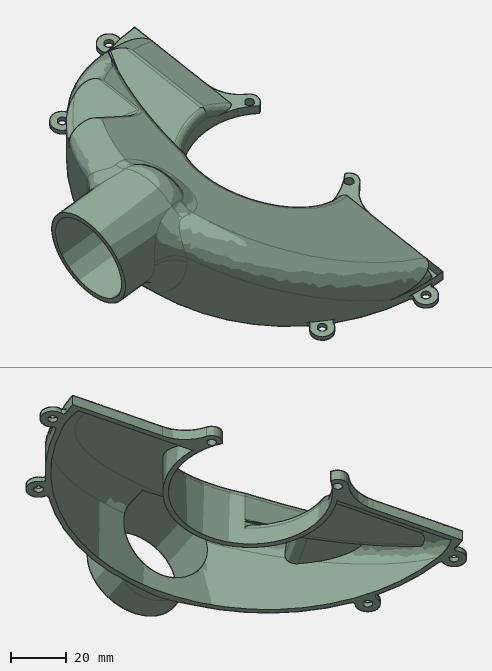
import cadquery as cq
import math

wall = 2.0
outer_radius = 79.5
bore_radius = 29.3
bore_center_y = -12.7
end_height = 4.3
roof_slope = 0.5
outer_round = 9.0
bore_round = 3.0

tube_outer_radius = 38.1 / 2
tube_axis_z = 25.0
tube_mouth_y = -99.1
tube_end_y = -58.5
tube_end_round = 11.0
tube_bore_y = -69.0
tube_blend = 10.0

low_floor_z = 10.3
low_wall_center = (8.7, 127.1)
low_wall_radius = 167.7
low_foot_round = 1.2
low_top_round = 3.0

high_floor_z = 22.5
high_wall_point = (-36.5, -35.0)
high_wall_lean = 15.5
high_foot_round = 2.4
high_top_round = 2.0
high_rim_round = 2.3

side_tab_height = 2.0
side_tab_radius = 4.5
side_tab_hole = 3.5
side_tab_places = [(81.8, -10.6), (67.1, -47.8)]
side_tab_fillet = 1.0
end_tab_radius = 3.9
end_tab_hole = 3.4
end_tab_place = (25.7, 5.2)
end_tab_flare = 17.0

spare = 10.0
depth = 60.0
span = 200.0

tolerance = 0.01


def block(x_range, y_range, z_range):
    size = [high - low for low, high in (x_range, y_range, z_range)]
    corner = (x_range[0], y_range[0], z_range[0])
    return cq.Workplane("XY").box(*size, centered=False).translate(corner)


def disc(center, radius, bottom_z, top_z):
    return cq.Workplane("XY", origin=(*center, bottom_z)).circle(radius).extrude(top_z - bottom_z)


def on_both_sides(solid):
    return solid.union(solid.mirror("YZ"))


def fillet_where(solid, is_wanted, radius):
    """Fillet every edge that passes the given test."""
    edges = [edge for edge in solid.edges().vals() if is_wanted(edge)]
    return cq.Workplane(solid.val().fillet(radius, edges))


def horseshoe(inset, bottom_z, top_z):
    """C-shaped prism reaching past y = 0, with its curved sides moved in by inset."""
    radius = outer_radius - inset
    prism = (
        cq.Workplane("XY", origin=(0, 0, bottom_z))
        .moveTo(-radius, spare).lineTo(-radius, 0)
        .threePointArc((0, -radius), (radius, 0))
        .lineTo(radius, spare).close()
        .extrude(top_z - bottom_z)
    )
    return prism.cut(disc((0, bore_center_y), bore_radius + inset, bottom_z, top_z))


def under_roof(inset):
    """Everything under the roof plane, moved down square to the roof by inset."""
    middle_z = end_height - inset * math.hypot(1, roof_slope)
    rise = roof_slope * span
    return (
        cq.Workplane("YZ")
        .moveTo(span, -span).lineTo(span, middle_z - rise)
        .lineTo(-span, middle_z + rise).lineTo(-span, -span).close()
        .extrude(span, both=True)
    )


def round_rim(solid, radius, center_y, size):
    """Round the curved top edges that lie on an upright cylinder."""
    bottom_z = solid.val().BoundingBox().zmin

    def is_rim(edge):
        points = [edge.positionAt(t) for t in (0.1, 0.5, 0.9)]
        on_side = all(abs(math.hypot(p.x, p.y - center_y) - radius) < tolerance for p in points)
        above_bottom = all(p.z > bottom_z + tolerance for p in points)
        return edge.geomType() != "LINE" and on_side and above_bottom

    return fillet_where(solid, is_rim, size)


def sloped_duct(inset):
    """Duct under the full roof with its outer rim rounded, not yet trimmed."""
    duct = horseshoe(inset, -depth, span).intersect(under_roof(inset))
    return round_rim(duct, outer_radius - inset, 0, outer_round - inset)


def tube(inset):
    """Cylinder along Y with a rounded closed end above the roof."""
    length = tube_end_y - inset - tube_mouth_y
    return (
        cq.Workplane("XZ", origin=(0, tube_mouth_y, tube_axis_z))
        .circle(tube_outer_radius - inset).extrude(-length)
        .faces(">Y").edges().fillet(tube_end_round - inset)
    )


def tube_bore():
    """Hollow of the tube, leaving the roof in place past the end of the bore."""
    past_bore = block((-span, span), (tube_bore_y, span), (-span, span))
    return tube(wall).cut(under_roof(0).intersect(past_bore))


def blend_tube(solid):
    """Round the seam where the tube meets the wall and the roof."""
    def is_seam(edge):
        points = [edge.positionAt(t) for t in (0, 0.25, 0.5, 0.75, 1)]
        near_tube = all(abs(p.x) < tube_outer_radius + tolerance and p.z > 0 for p in points)
        clear_of_bore = all(p.y < bore_center_y - bore_radius - bore_round for p in points)
        return edge.geomType() == "BSPLINE" and near_tube and clear_of_bore

    return fillet_where(solid, is_seam, tube_blend)


def low_cutter(inset):
    """Large disc on the low floor with a rounded foot."""
    floor_z = low_floor_z - inset
    return (
        disc(low_wall_center, low_wall_radius + inset, floor_z, span)
        .faces("<Z").edges().fillet(low_foot_round + inset)
    )


def beside_high_wall(inset, bottom_z):
    """Everything on the -X side of the high step's wall and above bottom_z."""
    return (
        block((-2 * span, inset), (-2 * span, 2 * span), (bottom_z, span))
        .rotate((0, 0, 0), (0, 0, 1), -high_wall_lean)
        .translate((*high_wall_point, 0))
    )


def high_cutter(inset):
    """Block on the high floor with a rounded foot along its wall."""
    corner = beside_high_wall(inset, high_floor_z - inset)
    return corner.edges("<Z").edges(">X").fillet(high_foot_round + inset)


def with_top_round(cutter, radius):
    """Widen a step cutter so that it also rounds the edges it leaves in the roof."""
    ground = under_roof(0)

    def is_step_edge(edge):
        points = [edge.positionAt(t) for t in (0, 0.5, 1)]
        on_roof = all(abs(end_height - roof_slope * p.y - p.z) < tolerance for p in points)
        inside = max(abs(points[1].x), abs(points[1].y)) < span - tolerance
        return on_roof and inside and points[1].y < 0

    return ground.cut(fillet_where(ground.cut(cutter), is_step_edge, radius))


def rim_cutter(floor_z, radius, center_y, size):
    """Sliver that rounds a floor's edge along one of the curved sides of the duct."""
    slab = horseshoe(0, floor_z - spare, floor_z)
    return slab.cut(round_rim(slab, radius, center_y, size))


def cut_steps(solid):
    low = with_top_round(low_cutter(0), low_top_round)
    low_area = disc(low_wall_center, low_wall_radius, 0, span)
    low = low.union(
        rim_cutter(low_floor_z, bore_radius, bore_center_y, bore_round).intersect(low_area)
    )
    low = low.intersect(block((-span, 0), (-span, span), (-span, span)))
    high = with_top_round(high_cutter(0), high_top_round)
    high_rim = rim_cutter(high_floor_z, outer_radius, 0, high_rim_round)
    high = high.union(high_rim.intersect(beside_high_wall(0, 0)))
    return solid.cut(low).cut(high)


def side_tabs():
    """Flat round ears on the outer wall, filleted into it."""
    tabs = horseshoe(0, 0, side_tab_height)
    for x, y in side_tab_places:
        for side in (1, -1):
            tabs = tabs.union(disc((side * x, y), side_tab_radius, 0, side_tab_height))

    def is_corner(edge):
        middle = edge.Center()
        on_wall = abs(math.hypot(middle.x, middle.y) - outer_radius) < tolerance
        upright = abs(middle.z - side_tab_height / 2) < tolerance
        return on_wall and upright and middle.y < -tolerance

    return fillet_where(tabs, is_corner, side_tab_fillet)


def end_tab():
    """Ear past the +X end: a round tip flared into the end face, cut along the bore."""
    x, y = end_tab_place
    reach = end_tab_radius + end_tab_flare
    flare_x = x + math.sqrt(reach ** 2 - (end_tab_flare - y) ** 2)
    start_angle = math.atan2(y - end_tab_flare, x - flare_x)
    middle_angle = (start_angle - math.pi / 2) / 2

    def flare_point(angle):
        return (
            flare_x + end_tab_flare * math.cos(angle),
            end_tab_flare + end_tab_flare * math.sin(angle),
        )

    web = (
        cq.Workplane("XY").moveTo(x, y).lineTo(*flare_point(start_angle))
        .threePointArc(flare_point(middle_angle), flare_point(-math.pi / 2))
        .lineTo(flare_x, -wall).lineTo(0, -wall).close()
        .extrude(end_height)
    )
    tip = disc(end_tab_place, end_tab_radius, 0, end_height)
    return tip.union(web).cut(disc((0, bore_center_y), bore_radius, 0, end_height))


def tab_holes():
    holes = disc(end_tab_place, end_tab_hole / 2, 0, end_height)
    for place in side_tab_places:
        holes = holes.union(disc(place, side_tab_hole / 2, 0, end_height))
    return on_both_sides(holes)


def outer_body():
    duct = round_rim(sloped_duct(0), bore_radius, bore_center_y, bore_round)
    duct = cut_steps(blend_tube(duct.union(tube(0))))
    plate = horseshoe(0, 0, end_height)
    trim = block((-span, span), (-span, 0), (0, span))
    return duct.union(plate).union(side_tabs()).intersect(trim).union(on_both_sides(end_tab()))


def cavity():
    """Hollow under the roof and the steps, closed toward the two ends, open below."""
    room = block((-span, span), (-span, -wall), (-spare, span))
    low = low_cutter(wall).intersect(block((-span, 0), (-span, span), (-span, span)))
    return sloped_duct(wall).cut(low).cut(high_cutter(wall)).intersect(room)


result = outer_body().cut(cavity()).cut(tube_bore()).cut(tab_holes())